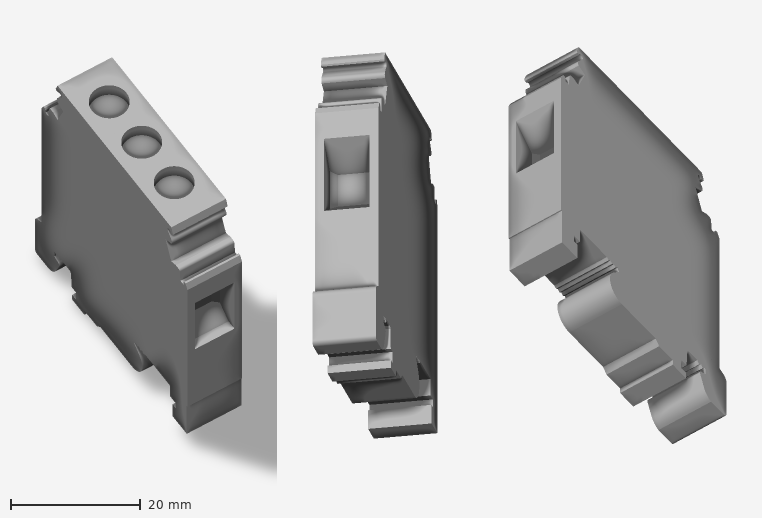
import cadquery as cq
import math


thickness = 10.05
height = 50.9
half_width = 20.7
foot_overhang = 1.85
foot_x = -half_width - foot_overhang

top_half_width = 16.15
lip_tip = (16.65, 49.55)
lip_bottom_z = 49.25
lip_bottom_outer = 16.5
lip_bottom_inner = 16.0
lip_groove_top = (15.5, 49.65)
lip_groove_end = (15.15, 48.85)
nose_top = (16.15, 47.7)
nose_tip = (16.35, 47.15)
nose_bottom = (16.15, 46.6)
notch_corner = (14.5, 45.95)
shoulder_corner = (16.15, 42.05)
hump_z = 42.5
hump_start = 17.4
hump_round_start = 18.1
hump_round_middle = (18.45, 42.35)
hump_round_end = (18.55, 42.1)
slot_bottom_z = 39.95
slot_inner = 18.75
slot_outer = 19.6
ridge_z = 40.85
ridge_inner = 19.8
ridge_outer = 20.15
ridge_slot_z = 40.55
wall_top_z = 39.8

foot_top_z = 10.15
foot_bottom_z = 0.45
foot_slope_end = (-21.8, 9.65)
foot_round_middle = (-22.35, 9.2)
foot_side_top_z = 8.55
foot_corner_radius = 0.7
foot_bottom_end = -18.55
foot_heel_middle = (-17.45, 1.0)
foot_heel_end = (-16.7, 2.05)
foot_hook_start = (-15.7, 4.35)
foot_hook_middle = (-15.7, 4.8)
foot_hook_end = (-16.05, 5.1)
foot_hook_inner_z = 5.45
left_pocket_x = -17.05

left_seat_z = 6.75
left_pocket_top_z = 6.55
left_teeth_start = -16.85
left_tooth_count = 2
left_tooth_pitch = 0.95
left_tooth_depth = 0.55
left_seat_end = -12.6
post_wall_top = (-12.3, 6.35)
post_wall_bottom = -12.1
post_notch_top_z = 3.1
post_notch_bottom_z = 1.25
post_notch_x = -10.85
post_left = -11.95
post_right = -8.5
post_shelf_z = 1.05
post_shelf_end = -4.95
belly_start = -4.0

belly_bottom_z = 2.0
belly_radius = 3.1
belly_center = (4.85, belly_bottom_z + belly_radius)
belly_neck = (5.55, 8.75)

right_seat_z = 9.3
right_teeth_start = 6.0
right_tooth_count = 3
right_tooth_pitch = 0.9
right_tooth_depth = 0.35
leg_left = 15.8
leg_notch_top_z = 6.55
leg_notch_bottom_z = 5.3
leg_notch_x = 17.4
leg_toe_x = 16.5
leg_bottom_z = 2.2
leg_right = half_width - 0.2
leg_top_z = 9.45

screw_hole_diameter = 6.3
screw_hole_depth = 2.45
screw_hole_pitch = 9.2

entry_width = 7.25
entry_bottom_z = 23.4
entry_top_z = 35.45
entry_flat_floor_depth = 1.7
entry_straight_depth = 4.15
entry_depth = 4.75
entry_end_width = 4.95
entry_end_bottom_z = 25.9
entry_end_top_z = 31.2

insert_wall_y = entry_width / 2
insert_top_z = entry_top_z
insert_bottom_z = foot_top_z
insert_front_y = 0.0
insert_first_step = (-1.55, 13.9)
insert_second_step = (-4.1, 12.6)


def extrude_outline(outline):
    """Close an XZ outline and extrude it over the full thickness, centred on Y = 0."""
    return outline.close().extrude(thickness / 2, both=True)


def add_teeth(outline, start_x, seat_z, count, pitch, depth):
    """Continue the outline along a rail seat with a row of V-shaped teeth that touch each other."""
    outline = outline.lineTo(start_x, seat_z)
    for index in range(count):
        tooth_x = start_x + index * pitch
        outline = outline.lineTo(tooth_x + pitch / 2, seat_z - depth)
        outline = outline.lineTo(tooth_x + pitch, seat_z)
    return outline


def make_shoulder():
    """Right half of the top, with the latch grooves stepping down from the lip to the wall."""
    outline = (
        cq.Workplane("XZ")
        .moveTo(0, wall_top_z)
        .lineTo(0, height)
        .lineTo(top_half_width, height)
        .lineTo(*lip_tip)
        .lineTo(lip_bottom_outer, lip_bottom_z)
        .lineTo(lip_bottom_inner, lip_bottom_z)
        .threePointArc(lip_groove_top, lip_groove_end)
        .lineTo(*nose_top)
        .threePointArc(nose_tip, nose_bottom)
        .lineTo(*notch_corner)
        .lineTo(*shoulder_corner)
        .lineTo(hump_start, hump_z)
        .lineTo(hump_round_start, hump_z)
        .threePointArc(hump_round_middle, hump_round_end)
        .lineTo(slot_inner, slot_bottom_z)
        .lineTo(slot_outer, slot_bottom_z)
        .lineTo(slot_outer, ridge_slot_z)
        .lineTo(ridge_inner, ridge_z)
        .lineTo(ridge_outer, ridge_z)
        .lineTo(half_width, wall_top_z)
    )
    return extrude_outline(outline)


def add_foot(outline):
    """Continue from the left wall around the hooked foot to the left rail seat."""
    corner_center_x = foot_x + foot_corner_radius
    corner_center_z = foot_bottom_z + foot_corner_radius
    corner_reach = foot_corner_radius * math.cos(math.radians(45))
    corner_middle = (corner_center_x - corner_reach, corner_center_z - corner_reach)
    return (
        outline.lineTo(-half_width, foot_top_z)
        .lineTo(*foot_slope_end)
        .threePointArc(foot_round_middle, (foot_x, foot_side_top_z))
        .lineTo(foot_x, corner_center_z)
        .threePointArc(corner_middle, (corner_center_x, foot_bottom_z))
        .lineTo(foot_bottom_end, foot_bottom_z)
        .threePointArc(foot_heel_middle, foot_heel_end)
        .lineTo(*foot_hook_start)
        .threePointArc(foot_hook_middle, foot_hook_end)
        .lineTo(left_pocket_x, foot_hook_inner_z)
        .lineTo(left_pocket_x, left_pocket_top_z)
    )


def add_post(outline):
    """Continue from the left rail seat around the notched post to the belly."""
    return (
        outline.lineTo(left_seat_end, left_seat_z)
        .lineTo(*post_wall_top)
        .lineTo(post_wall_bottom, post_notch_top_z)
        .lineTo(post_notch_x, post_notch_top_z)
        .lineTo(post_notch_x, post_notch_bottom_z)
        .lineTo(post_left, post_notch_bottom_z)
        .lineTo(post_left, 0)
        .lineTo(post_right, 0)
        .lineTo(post_right, post_shelf_z)
        .lineTo(post_shelf_end, post_shelf_z)
    )


def add_belly(outline):
    """Continue around the round belly, which ends in a 45 degree line up to the right rail seat."""
    center_x, center_z = belly_center
    slope_reach = belly_radius * math.cos(math.radians(45))
    return (
        outline.lineTo(belly_start, belly_bottom_z)
        .lineTo(center_x, belly_bottom_z)
        .threePointArc((center_x + belly_radius, center_z), (center_x + slope_reach, center_z + slope_reach))
        .lineTo(*belly_neck)
    )


def add_leg(outline):
    """Continue from the right rail seat around the notched leg to the right wall."""
    return (
        outline.lineTo(leg_left, right_seat_z)
        .lineTo(leg_left, leg_notch_top_z)
        .lineTo(leg_notch_x, leg_notch_top_z)
        .lineTo(leg_notch_x, leg_notch_bottom_z)
        .lineTo(leg_toe_x, leg_notch_bottom_z)
        .lineTo(leg_toe_x, leg_bottom_z)
        .lineTo(leg_right, leg_bottom_z)
        .lineTo(leg_right, leg_top_z)
        .lineTo(half_width, leg_top_z)
    )


def make_base():
    """Everything below the shoulders, down to the feet that grip the rail."""
    outline = cq.Workplane("XZ").moveTo(half_width, wall_top_z).lineTo(-half_width, wall_top_z)
    outline = add_foot(outline)
    outline = add_teeth(
        outline, left_teeth_start, left_seat_z, left_tooth_count, left_tooth_pitch, left_tooth_depth
    )
    outline = add_post(outline)
    outline = add_belly(outline)
    outline = add_teeth(
        outline, right_teeth_start, right_seat_z, right_tooth_count, right_tooth_pitch, right_tooth_depth
    )
    outline = add_leg(outline)
    return extrude_outline(outline)


def make_screw_holes():
    """Three blind round holes in a row along the top face."""
    centers = [(-screw_hole_pitch, 0), (0, 0), (screw_hole_pitch, 0)]
    return (
        cq.Workplane("XY", origin=(0, 0, height))
        .pushPoints(centers)
        .circle(screw_hole_diameter / 2)
        .extrude(-screw_hole_depth)
    )


def make_left_entry():
    """Funnel cut into the left wall: floor and ceiling converge, then the sides taper near the end."""
    end_x = entry_depth - half_width
    side_profile = (
        cq.Workplane("XZ")
        .moveTo(-half_width, entry_bottom_z)
        .lineTo(entry_flat_floor_depth - half_width, entry_bottom_z)
        .lineTo(end_x, entry_end_bottom_z)
        .lineTo(end_x, entry_end_top_z)
        .lineTo(-half_width, entry_top_z)
        .close()
        .extrude(entry_width / 2, both=True)
    )
    taper_x = entry_straight_depth - half_width
    plan_profile = (
        cq.Workplane("XY")
        .moveTo(-half_width, -entry_width / 2)
        .lineTo(taper_x, -entry_width / 2)
        .lineTo(end_x, -entry_end_width / 2)
        .lineTo(end_x, entry_end_width / 2)
        .lineTo(taper_x, entry_width / 2)
        .lineTo(-half_width, entry_width / 2)
        .close()
        .extrude(height)
    )
    return side_profile.intersect(plan_profile)


def make_insert():
    """Stepped block from end wall to end wall, filling the recess in the rear of the housing."""
    rear_y = thickness / 2
    first_step_y, first_step_z = insert_first_step
    second_step_y, second_step_z = insert_second_step
    return (
        cq.Workplane("YZ")
        .moveTo(rear_y, insert_top_z)
        .lineTo(insert_wall_y, insert_top_z)
        .lineTo(insert_wall_y, entry_bottom_z)
        .lineTo(insert_front_y, entry_bottom_z)
        .lineTo(insert_front_y, first_step_z)
        .lineTo(first_step_y, first_step_z)
        .lineTo(first_step_y, second_step_z)
        .lineTo(second_step_y, second_step_z)
        .lineTo(second_step_y, insert_bottom_z)
        .lineTo(rear_y, insert_bottom_z)
        .close()
        .extrude(half_width, both=True)
    )


insert = make_insert()

right_shoulder = make_shoulder()
left_entry = make_left_entry()
housing = (
    make_base()
    .union(right_shoulder)
    .union(right_shoulder.mirror("YZ"))
    .cut(make_screw_holes())
    .cut(left_entry)
    .cut(left_entry.mirror("YZ"))
    .cut(insert)
)

result = cq.Compound.makeCompound([housing.val(), insert.val()])